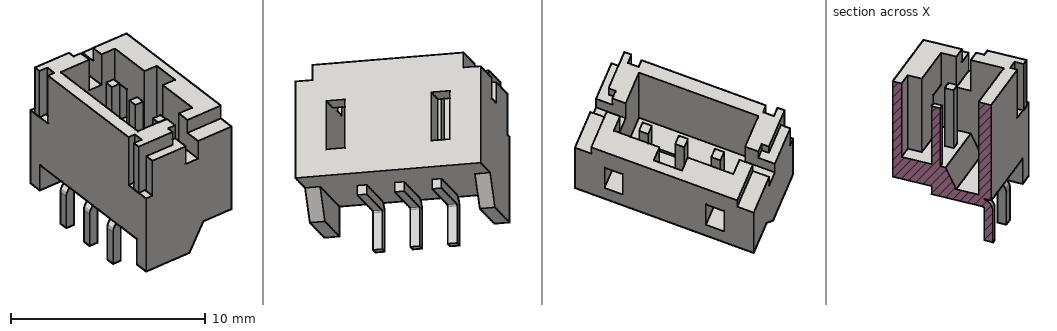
import cadquery as cq


width = 9.9
half_width = width / 2
rear_y = 5.6
front_y = 0.1
top_z = 8.6
underside_z = 2.59

leg_width = 0.81
leg_bottom_z = 0.99
leg_slope_top_y = 3.79
leg_slope_bottom_y = 2.89

shoulder_z = 7.79
rear_shoulder_width = 0.91
front_shoulder_width = 0.51
shoulder_step_y = 2.2

notch_rear_y = 3.45
notch_front_y = 2.65
notch_floor_z = 6.68

recess_width = 1.5
recess_rear_y = 0.5
recess_floor_z = 5.59
rail_bottom_z = 5.69

cavity_width = 6.61
cavity_front_y = 0.8
cavity_rear_y = 4.31
step_high_y = 2.64
step_low_y = 2.05
high_floor_z = 4.0
low_floor_z = 2.8
key_width = 1.56
key_rear_y = 5.1

window_width = 1.0
window_top_z = 6.6

pin_offsets = (-2.0, 0, 2.0)
pin_size = 0.5
pin_top_z = 7.63
pin_rear_y = notch_rear_y
pin_bend_radius = 0.58


def box(x_range, y_range, z_range):
    """Box filling the given X, Y and Z ranges."""
    (x0, x1), (y0, y1), (z0, z1) = x_range, y_range, z_range
    return cq.Workplane("XY").box(x1 - x0, y1 - y0, z1 - z0, centered=False).translate((x0, y0, z0))


def both_ends(shape):
    """The given shape together with its mirror image at the other end."""
    return shape.union(shape.mirror("YZ"))


def side_profile(points, length):
    """Y-Z outline extruded along X, centred on X = 0."""
    return cq.Workplane("YZ").polyline(points).close().extrude(length / 2, both=True)


def housing_block():
    outline = [
        (front_y, leg_bottom_z),
        (leg_slope_bottom_y, leg_bottom_z),
        (leg_slope_top_y, underside_z),
        (rear_y, underside_z),
        (rear_y, top_z),
        (front_y, top_z),
    ]
    inner_half = half_width - leg_width
    leg_gap = box((-inner_half, inner_half), (front_y, rear_y), (leg_bottom_z, underside_z))
    return side_profile(outline, width).cut(leg_gap)


def shoulder_cuts():
    rear_inner_x = half_width - rear_shoulder_width
    front_inner_x = half_width - front_shoulder_width
    rear = box((rear_inner_x, half_width), (shoulder_step_y, rear_y), (shoulder_z, top_z))
    front = box((front_inner_x, half_width), (front_y, shoulder_step_y), (shoulder_z, top_z))
    return both_ends(rear.union(front))


def wall_notch():
    return box((-half_width, half_width), (notch_front_y, notch_rear_y), (notch_floor_z, top_z))


def corner_recesses():
    inner_x = half_width - recess_width
    return both_ends(box((inner_x, half_width), (front_y, recess_rear_y), (recess_floor_z, top_z)))


def latch_rails():
    x_range = (half_width - rear_shoulder_width, half_width - front_shoulder_width)
    return both_ends(box(x_range, (0, recess_rear_y), (rail_bottom_z, top_z)))


def cavity():
    outline = [
        (cavity_front_y, low_floor_z),
        (step_low_y, low_floor_z),
        (step_high_y, high_floor_z),
        (cavity_rear_y, high_floor_z),
        (cavity_rear_y, top_z),
        (cavity_front_y, top_z),
    ]
    key_slot = box((-key_width / 2, key_width / 2), (cavity_rear_y, key_rear_y), (high_floor_z, top_z))
    return side_profile(outline, cavity_width).union(key_slot)


def rear_windows():
    outer_x = cavity_width / 2
    x_range = (outer_x - window_width, outer_x)
    return both_ends(box(x_range, (cavity_rear_y, rear_y), (high_floor_z, window_top_z)))


def pin(x):
    """Pin running down through the floor, forward under the housing and down to its tip."""
    half_size = pin_size / 2
    x_range = (x - half_size, x + half_size)
    post = box(x_range, (pin_rear_y - pin_size, pin_rear_y), (underside_z - pin_size, pin_top_z))
    inner_radius = pin_bend_radius - pin_size
    lead_bottom_z = underside_z - pin_size
    bend_z = underside_z - pin_bend_radius
    tail = (
        cq.Workplane("YZ")
        .moveTo(0, 0)
        .lineTo(pin_size, 0)
        .lineTo(pin_size, bend_z)
        .radiusArc((pin_bend_radius, lead_bottom_z), inner_radius)
        .lineTo(pin_rear_y, lead_bottom_z)
        .lineTo(pin_rear_y, underside_z)
        .lineTo(pin_bend_radius, underside_z)
        .radiusArc((0, bend_z), -pin_bend_radius)
        .close()
        .extrude(half_size, both=True)
        .translate((x, 0, 0))
    )
    return post.union(tail)


result = housing_block()
for removed in (shoulder_cuts(), wall_notch(), corner_recesses(), cavity(), rear_windows()):
    result = result.cut(removed)
result = result.union(latch_rails())
for pin_x in pin_offsets:
    result = result.union(pin(pin_x))